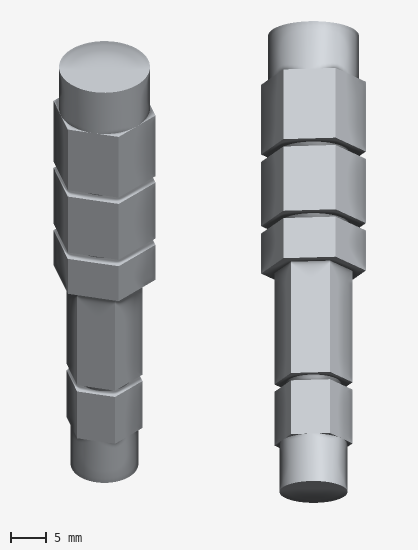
import cadquery as cq
import math

TOTAL_LENGTH = 67.35

LARGE_FLATS = 12.7
LARGE_NECK = 10.0

SMALL_FLATS = 9.5
SMALL_NECK = 7.7

END_LENGTH = 7.0
LOWER_NUT_LENGTH = 7.95
NECK_LENGTH = 1.1
BODY_LENGTH = 16.4
FLANGE_LENGTH = 5.9
MIDDLE_NUT_LENGTH = 9.5


def add_round(part, diameter, length):
    """Stack a cylinder on the top face."""
    return part.faces(">Z").workplane().circle(diameter / 2).extrude(length)


def add_hexagon(part, across_flats, length):
    """Stack a hexagonal prism, with corners on the X axis, on the top face."""
    across_corners = across_flats / math.cos(math.pi / 6)
    return part.faces(">Z").workplane().polygon(6, across_corners).extrude(length)


upper_nut_length = TOTAL_LENGTH - (
    2 * END_LENGTH
    + LOWER_NUT_LENGTH
    + 3 * NECK_LENGTH
    + BODY_LENGTH
    + FLANGE_LENGTH
    + MIDDLE_NUT_LENGTH
)

part = cq.Workplane("XY").circle(SMALL_FLATS / 2).extrude(END_LENGTH)
part = add_hexagon(part, SMALL_FLATS, LOWER_NUT_LENGTH)
part = add_round(part, SMALL_NECK, NECK_LENGTH)
part = add_hexagon(part, SMALL_FLATS, BODY_LENGTH)

part = add_hexagon(part, LARGE_FLATS, FLANGE_LENGTH)
part = add_round(part, LARGE_NECK, NECK_LENGTH)
part = add_hexagon(part, LARGE_FLATS, MIDDLE_NUT_LENGTH)
part = add_round(part, LARGE_NECK, NECK_LENGTH)
part = add_hexagon(part, LARGE_FLATS, upper_nut_length)
result = add_round(part, LARGE_FLATS, END_LENGTH)